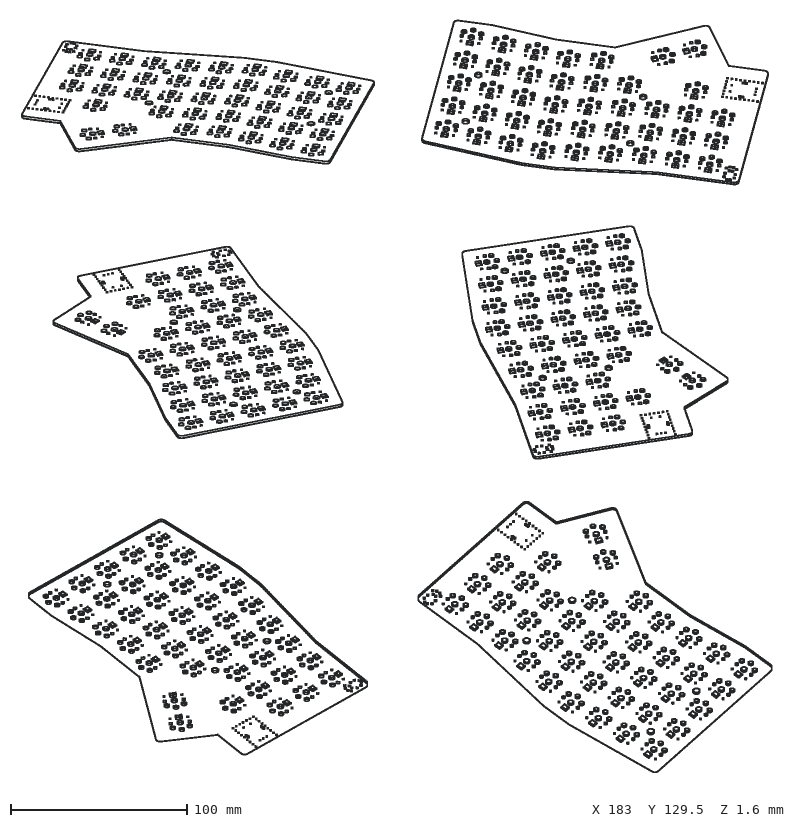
import cadquery as cq
import math

thickness = 1.6

column_count = 9
first_column_x = 18.7
matrix_width = 152.2
key_pitch = matrix_width / (column_count - 1)
top_row_y = 110.3
stagger = 2.4
column_shifts = [0, 0, 0, 1, 2, 3, 2, 1, 0]
column_rows = [3, 4, 3, 4, 5, 5, 5, 5, 5]

thumb_angle = 30
thumb_keys = 2
first_thumb_key = (44.8, 20.0)

centre_diameter = 3.5
post_diameter = 1.8
post_x = 5.5
pin_diameter = 3.0
side_pin_x = 5.0
side_pin_y = -3.7
lower_pin_y = -5.9
clip_diameter = 1.0
clip_x = 5.1
clip_y = 4.2
window_width = 3.7
window_height = 3.1
window_y = 4.8

mount_diameter = 4.0
mount_middle = (113.6, 82.9)
mount_spacing_x = 95.1
mount_spacing_y = 38.5

module_diameter = 0.77
module_row_pins = 9
module_row_length = 20.3
module_pitch = module_row_length / (module_row_pins - 1)
module_left_x = 1.6
module_middle_y = 47.4
module_end_pins = 5
module_half_rows = 3
pad_pair_x = 18.5
slot_length = 3.0
slot_width = 1.1
slot_x = 11.5
slot_offset_y = 5.7

jack_diameter = 1.2
jack_x = 5.9
jack_pairs = [
    (1.0, 120.5),
    (3.0, 118.8),
    (3.0, 115.8),
    (1.0, 113.5),
    (3.0, 111.6),
    (1.1, 110.3),
]

edge_margin = 2.5
overall_length = 183.0
overall_width = 129.5
left_bottom_y = 29.6
middle_bottom_y = 27.0
thumb_tip_x = 41.7
rise_start, rise_end = 1.5, 4.5
fall_start = 5.5
lower_fall_end = 7.5


def column_x(column):
    """X of a column centre; halves fall midway between two columns."""
    return first_column_x + column * key_pitch


def core_points():
    """Corners of the outline core, counter-clockwise from the left bottom corner."""
    left = edge_margin
    right = overall_length - edge_margin
    peak = overall_width - edge_margin
    shoulder = peak - max(column_shifts) * stagger
    tip = edge_margin
    left_bottom = left_bottom_y + edge_margin
    middle_bottom = middle_bottom_y + edge_margin
    right_bottom = middle_bottom - (lower_fall_end - fall_start) * stagger
    slope = math.tan(math.radians(thumb_angle))
    return [
        (left, left_bottom),
        (thumb_tip_x - (left_bottom - tip) * slope, left_bottom),
        (thumb_tip_x, tip),
        (thumb_tip_x + (middle_bottom - tip) / slope, middle_bottom),
        (column_x(fall_start), middle_bottom),
        (column_x(lower_fall_end), right_bottom),
        (right, right_bottom),
        (right, shoulder),
        (column_x(fall_start), peak),
        (column_x(rise_end), peak),
        (column_x(rise_start), shoulder),
        (left, shoulder),
    ]


def key_places():
    """Centre and turn of every key switch as (x, y, degrees)."""
    places = []
    for column in range(column_count):
        top_y = top_row_y + column_shifts[column] * stagger
        for row in range(column_rows[column]):
            places.append((column_x(column), top_y - row * key_pitch, 0))
    angle = math.radians(thumb_angle)
    for key in range(thumb_keys):
        x = first_thumb_key[0] + key * key_pitch * math.cos(angle)
        y = first_thumb_key[1] + key * key_pitch * math.sin(angle)
        places.append((x, y, thumb_angle - 90))
    return places


def round_cutters(points, diameter):
    """Pins that cut round through holes at the points."""
    return cq.Workplane("XY").pushPoints(points).circle(diameter / 2).extrude(thickness).vals()


def switch_cutters():
    """Cutters for one key switch centred on the origin."""
    window = cq.Workplane("XY").center(0, window_y).rect(window_width, window_height).extrude(thickness)
    pins = [(-side_pin_x, side_pin_y), (side_pin_x, side_pin_y), (0, lower_pin_y)]
    return (
        window.vals()
        + round_cutters([(0, 0)], centre_diameter)
        + round_cutters([(-post_x, 0), (post_x, 0)], post_diameter)
        + round_cutters(pins, pin_diameter)
        + round_cutters([(-clip_x, clip_y), (clip_x, clip_y)], clip_diameter)
    )


def key_cutters():
    """Cutters for all key switches."""
    switch = cq.Compound.makeCompound(switch_cutters())
    cutters = []
    for x, y, turn in key_places():
        cutters += switch.moved(cq.Location(cq.Vector(x, y, 0), cq.Vector(0, 0, 1), turn)).Solids()
    return cutters


def mount_cutters():
    """Cutters for the four mounting holes."""
    points = [
        (mount_middle[0] + side_x * mount_spacing_x / 2, mount_middle[1] + side_y * mount_spacing_y / 2)
        for side_x in (-1, 1)
        for side_y in (-1, 1)
    ]
    return round_cutters(points, mount_diameter)


def module_cutters():
    """Cutters for the controller module: two pin rows, an end column, inner pads and two slots."""

    def grid_point(column, row):
        return (module_left_x + column * module_pitch, module_middle_y + row * module_pitch)

    points = []
    for column in range(module_row_pins):
        points += [grid_point(column, -module_half_rows), grid_point(column, module_half_rows)]
    for pin in range(module_end_pins):
        points.append(grid_point(module_row_pins - 1, pin - (module_end_pins - 1) / 2))
    points += [grid_point(1, row) for row in (-1, 0, 1)]
    points += [(pad_pair_x, module_middle_y + side * module_pitch) for side in (-1, 1)]

    slot_points = [(slot_x, module_middle_y + side * slot_offset_y) for side in (-1, 1)]
    slots = cq.Workplane("XY").pushPoints(slot_points).slot2D(slot_length, slot_width).extrude(thickness)
    return round_cutters(points, module_diameter) + slots.vals()


def jack_cutters():
    """Cutters for the audio jack holes."""
    points = [(jack_x + side * half, y) for half, y in jack_pairs for side in (-1, 1)]
    return round_cutters(points, jack_diameter)


plate = cq.Workplane("XY").polyline(core_points()).close().offset2D(edge_margin, "arc").extrude(thickness)
cutters = key_cutters() + mount_cutters() + module_cutters() + jack_cutters()
result = cq.Workplane("XY").newObject([plate.val().cut(*cutters)])